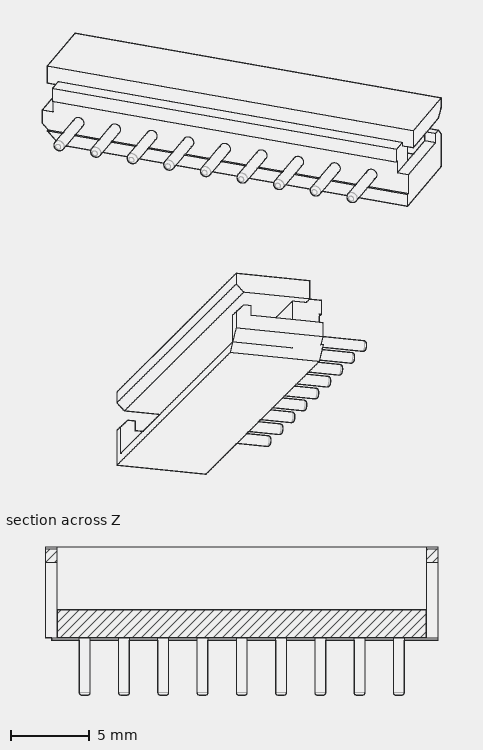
import cadquery as cq

length = 24.9
height = 4.9

front_wall_back = 3.98
front_wall_face = 5.78
band_face = 5.93
lower_band_top = 0.85
upper_band_bottom = 3.01
front_wall_top = 3.93

cover_depth = 4.9
cover_thickness = 1.22
cover_bottom = height - cover_thickness

floor_thickness = 0.55
end_wall = 0.75
end_wall_top = 2.2
hook_top = 2.85
hook_depth = 1.0
mouth_chamfer = 0.5
corner_chamfer = 1.25

pin_count = 9
pin_pitch = 2.5
pin_diameter = 0.7
pin_tip_radius = 0.17
pin_height = 1.77
pin_reach = 9.4


def extrude_profile(points, start, end):
    """Extrude a closed outline of (distance from back, height) points between two X positions."""
    outline = [(-depth, z) for depth, z in points]
    return cq.Workplane("YZ", origin=(start, 0, 0)).polyline(outline).close().extrude(end - start)


def make_base():
    """Socket floor and the lower part of the front wall, both running the full length."""
    profile = [
        (0, 0),
        (band_face, 0),
        (band_face, lower_band_top),
        (front_wall_face, lower_band_top),
        (front_wall_face, end_wall_top),
        (front_wall_back, end_wall_top),
        (front_wall_back, floor_thickness),
        (0, floor_thickness),
    ]
    return extrude_profile(profile, 0, length)


def make_upper_front_wall():
    """Upper part of the front wall, set in from both ends and carrying the cover."""
    profile = [
        (front_wall_back, end_wall_top),
        (front_wall_face, end_wall_top),
        (front_wall_face, upper_band_bottom),
        (band_face, upper_band_bottom),
        (band_face, front_wall_top),
        (front_wall_back, front_wall_top),
    ]
    return extrude_profile(profile, end_wall, length - end_wall)


def make_cover():
    """Cover plate with a lead-in chamfer along its lower back edge."""
    profile = [
        (0, height),
        (cover_depth, height),
        (cover_depth, cover_bottom),
        (mouth_chamfer, cover_bottom),
        (0, cover_bottom + mouth_chamfer),
    ]
    return extrude_profile(profile, 0, length)


def make_end_wall(start):
    """End wall with a chamfered hook at the back."""
    profile = [
        (0, 0),
        (front_wall_back, 0),
        (front_wall_back, end_wall_top),
        (hook_depth, end_wall_top),
        (hook_depth, hook_top),
        (mouth_chamfer, hook_top),
        (0, hook_top - mouth_chamfer),
    ]
    return extrude_profile(profile, start, start + end_wall)


def make_corner_cut():
    """Wedge that bevels the lower left edge along the whole depth."""
    outline = [(0, 0), (corner_chamfer, 0), (0, corner_chamfer)]
    return cq.Workplane("XZ").polyline(outline).close().extrude(band_face)


def make_pin(x):
    """Round pin from the back of the front wall to its rounded tip."""
    pin_base = cq.Workplane("XZ", origin=(x, -front_wall_back, pin_height))
    pin = pin_base.circle(pin_diameter / 2).extrude(pin_reach - front_wall_back)
    return pin.faces("<Y").edges().fillet(pin_tip_radius)


housing = make_base().union(make_upper_front_wall()).union(make_cover())
for wall_start in (0, length - end_wall):
    housing = housing.union(make_end_wall(wall_start))
housing = housing.cut(make_corner_cut())

first_pin = (length - (pin_count - 1) * pin_pitch) / 2
for index in range(pin_count):
    housing = housing.union(make_pin(first_pin + index * pin_pitch))

result = housing